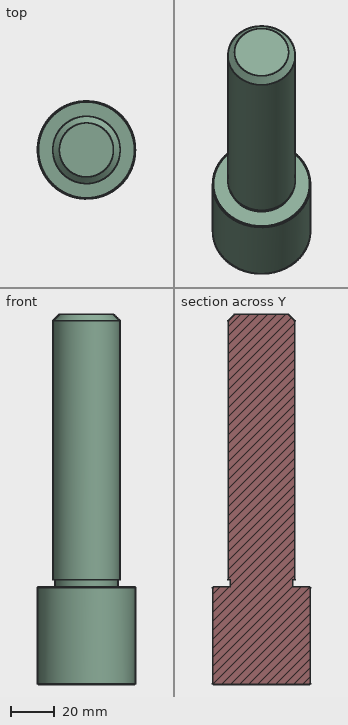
import cadquery as cq

total_height = 170.0
head_diameter = 45.0
head_height = 45.0
head_edge_chamfer = 0.5

pin_diameter = 31.0
pin_tip_chamfer = 3.0
neck_diameter = 29.0
neck_height = 3.0


def make_head():
    """Cylindrical head with both rims lightly broken."""
    head = cq.Workplane("XY").circle(head_diameter / 2).extrude(head_height)
    return head.edges("%CIRCLE").chamfer(head_edge_chamfer)


def make_neck():
    """Relief groove core joining the head to the pin."""
    base = cq.Workplane("XY").workplane(offset=head_height)
    return base.circle(neck_diameter / 2).extrude(neck_height)


def make_pin():
    """Long pin with a chamfered tip."""
    pin_base = head_height + neck_height
    base = cq.Workplane("XY").workplane(offset=pin_base)
    pin = base.circle(pin_diameter / 2).extrude(total_height - pin_base)
    return pin.faces(">Z").edges().chamfer(pin_tip_chamfer)


result = make_head().union(make_neck()).union(make_pin())